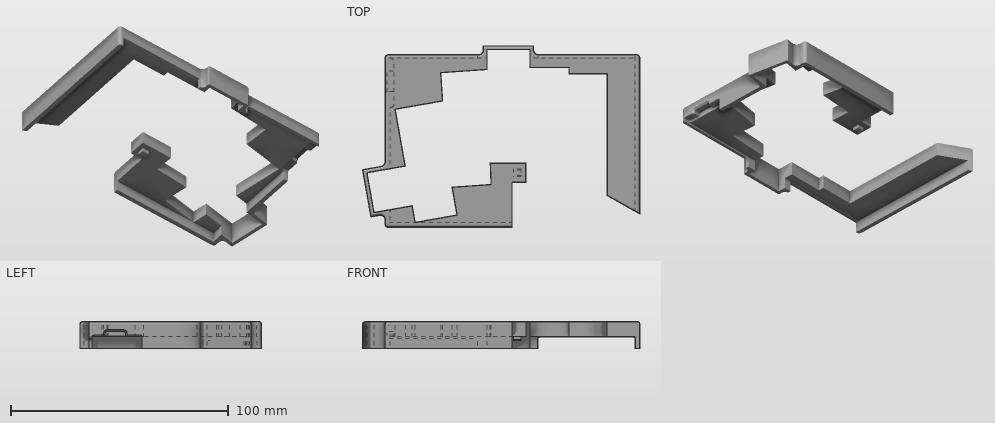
import cadquery as cq
import math

height = 12.4
plate_underside = 5.5
wall = 2.2
back_wall = 1.5
frame_left = 10.3
frame_right = 127.4
frame_back = 79.4
corner_radius = 1.5
top_edge_radius = 1.1

tab_wall = 1.8
tab_root_radius = 2.1
tab_corner_radius = 0.4
back_tab_left = 55.4
back_tab_right = 78.6
back_tab_back = 83.5
side_tab_tilt = 10.0
side_tab_width = 22.0
side_tab_tip_y = 26.5

slight_tilt = 4.0
left_bar_tip_width = 17.8
left_bar_length = 26.5
back_left_ledge = 22.2
back_left_step = 13.0
front_left_ledge = 17.8
front_left_step = 7.8
front_bar_ledge = 19.5
front_bar_step = 13.0
island_ledge = 18.0
back_bar_edge = 73.4
back_bar_step_edge = 70.6
back_bar_step_x = 94.8
island_left = 58.6
island_right = 75.0
island_front = 20.6
island_back = 29.5
front_bar_end = 68.7
right_bar_inner = 112.4
right_bar_inner_end = 14.7
right_bar_outer_end = 6.2

back_opening_left_end = 52.9
back_opening_left_top = 4.6
back_opening_corner_radius = 2.1
back_opening_right_start = 80.5
back_opening_right_top = 5.2
back_opening_right_radius = 0.6
port_front = 54.9
port_back = 77.8
port_top = 6.2
port_corner_radius = 1.0
port_depth = 4.2
port_end_radius = 2.1
plug_front = 61.8
plug_back = 72.6
plug_top = 8.7
plug_corner_radius = 1.8
plug_lead_in = 0.8
plug_depth = 4.1

nub_side = 3.5
nub_length = 1.8
nub_x = 71.1
nub_chamfer = 0.4

overshoot = 6.4


def move(point, distance, angle):
    """Point reached from another by going a distance at an angle in degrees."""
    a = math.radians(angle)
    return point[0] + distance * math.cos(a), point[1] + distance * math.sin(a)


def side_tab_root(tip):
    """Point where the tilted tab side through a tip meets the left skirt."""
    return frame_left, tip[1] + (frame_left - tip[0]) * math.tan(side_tab_tilt_radians)


def box(x_range, y_range, z_range):
    """Axis-aligned box between pairs of limits."""
    size = [hi - lo for lo, hi in (x_range, y_range, z_range)]
    return cq.Workplane("XY").box(*size, centered=False).translate((x_range[0], y_range[0], z_range[0]))


side_tab_tilt_radians = math.radians(side_tab_tilt)
side_tab_tip_x = tab_corner_radius * (1 - math.cos(side_tab_tilt_radians) - math.sin(side_tab_tilt_radians))
side_tab_back_tip = (side_tab_tip_x, side_tab_tip_y)
side_tab_front_tip = move(side_tab_back_tip, side_tab_width, side_tab_tilt - 90)


def round_uprights(body, corners, radius):
    """Round the upright edges that stand nearest to the given plan points."""
    for x, y in corners:
        upright = cq.selectors.NearestToPointSelector((x, y, height / 2))
        body = body.edges("|Z").edges(upright).fillet(radius)
    return body


def outer_body():
    """Solid block with the outside shape of the frame and rounded edges."""
    frame_corners = [(frame_left, 0), (frame_left, frame_back), (frame_right, frame_back)]
    back_tab_roots = [(back_tab_left, frame_back), (back_tab_right, frame_back)]
    back_tab_tips = [(back_tab_left, back_tab_back), (back_tab_right, back_tab_back)]
    side_tab_tips = [side_tab_front_tip, side_tab_back_tip]
    side_tab_roots = [side_tab_root(tip) for tip in side_tab_tips]
    outline = [
        frame_corners[0], side_tab_roots[0], *side_tab_tips, side_tab_roots[1],
        frame_corners[1], back_tab_roots[0], *back_tab_tips, back_tab_roots[1],
        frame_corners[2], (frame_right, 0),
    ]
    body = cq.Workplane("XY").polyline(outline).close().extrude(height)
    body = round_uprights(body, frame_corners, corner_radius)
    body = round_uprights(body, back_tab_tips + side_tab_tips, tab_corner_radius)
    body = round_uprights(body, back_tab_roots + side_tab_roots, tab_root_radius)
    return body.faces(">Z").edges().fillet(top_edge_radius)


def through_opening():
    """Cutter for the open middle, running out through the front right corner."""
    tab_back_inner = move(move(side_tab_back_tip, tab_wall, side_tab_tilt), tab_wall, side_tab_tilt - 90)
    tab_front_inner = move(tab_back_inner, side_tab_width - 2 * tab_wall, side_tab_tilt - 90)
    left_bar_tip = move(tab_back_inner, left_bar_tip_width, side_tab_tilt)
    left_bar_notch = move(left_bar_tip, left_bar_length, side_tab_tilt + 90)
    back_left_tip = move(left_bar_notch, back_left_ledge, side_tab_tilt)
    back_left_notch = move(back_left_tip, back_left_step, slight_tilt + 90)
    back_tab_inner_left = back_tab_left + tab_wall
    back_tab_inner_right = back_tab_right - tab_wall
    back_tab_inner_back = back_tab_back - tab_wall
    back_bar_rise = (back_tab_inner_left - back_left_notch[0]) * math.tan(math.radians(slight_tilt))
    back_bar_front = back_left_notch[1] + back_bar_rise
    front_left_tip = move(tab_front_inner, front_left_ledge, side_tab_tilt)
    front_left_notch = move(front_left_tip, front_left_step, side_tab_tilt - 90)
    front_bar_notch = move(front_left_notch, front_bar_ledge, side_tab_tilt)
    front_bar_tip = move(front_bar_notch, front_bar_step, side_tab_tilt + 90)
    island_notch = move(front_bar_tip, island_ledge, slight_tilt)
    outline = [
        tab_back_inner, left_bar_tip, left_bar_notch, back_left_tip, back_left_notch,
        (back_tab_inner_left, back_bar_front),
        (back_tab_inner_left, back_tab_inner_back),
        (back_tab_inner_right, back_tab_inner_back),
        (back_tab_inner_right, back_bar_edge), (back_bar_step_x, back_bar_edge),
        (back_bar_step_x, back_bar_step_edge), (right_bar_inner, back_bar_step_edge),
        (right_bar_inner, right_bar_inner_end),
        (frame_right, right_bar_outer_end),
        (frame_right + overshoot, right_bar_outer_end),
        (frame_right + overshoot, -overshoot),
        (front_bar_end, -overshoot),
        (front_bar_end, island_front), (island_right, island_front),
        (island_right, island_back), (island_left, island_back),
        island_notch, front_bar_tip, front_bar_notch, front_left_notch, front_left_tip,
        tab_front_inner,
    ]
    return cq.Workplane("XY").polyline(outline).close().extrude(height)


def underside_hollow():
    """Cutter for the space under the plate, inside the skirt."""
    return box((frame_left + wall, frame_right - wall), (wall, frame_back - back_wall), (0, plate_underside))


def back_openings():
    """Cutters for the two long openings in the back skirt, either side of the tab."""
    depth = (frame_back - 2 * back_wall, frame_back + overshoot)
    left = box((frame_left - overshoot, back_opening_left_end), depth, (-overshoot, back_opening_left_top))
    left = left.edges(">X and >Z").fillet(back_opening_corner_radius)
    right = box((back_opening_right_start, frame_right - wall), depth, (-overshoot, back_opening_right_top))
    right = right.edges("|Y and >Z").fillet(back_opening_right_radius)
    return left.union(right)


def side_port():
    """Cutter for the wide port in the left skirt and the raised plug recess over it."""
    port_reach = (frame_left - overshoot, frame_left + port_depth)
    port = box(port_reach, (port_front, port_back), (-overshoot, port_top))
    port = port.edges(">X and |Z").fillet(port_end_radius)
    port = port.edges("|X and >Z").fillet(port_corner_radius)
    plug_width = plug_back - plug_front
    plug_middle = (plug_front + plug_back) / 2

    def recess(inset, depth, taper):
        """Plug profile, shrunk by an inset, cut into the left face."""
        width = plug_width - 2 * inset
        top = plug_top - inset
        profile = (
            cq.Sketch()
            .push([(plug_middle, top / 2)])
            .rect(width, top)
            .reset()
            .vertices()
            .fillet(plug_corner_radius - inset)
        )
        return cq.Workplane("YZ", origin=(frame_left, 0, 0)).placeSketch(profile).extrude(depth, taper=taper)

    lead_in = recess(0, plug_lead_in, 45)
    pocket = recess(plug_lead_in, plug_depth, 0)
    return port.union(lead_in).union(pocket)


def island_nub():
    """Short square nub hanging below the island, with its lower edges chamfered front and back."""
    middle_y = (island_front + island_back) / 2
    top = cq.Workplane("XY", origin=(nub_x, middle_y, plate_underside))
    return top.rect(nub_side, nub_side).extrude(-nub_length).edges("|X and <Z").chamfer(nub_chamfer)


result = (
    outer_body()
    .cut(underside_hollow())
    .cut(through_opening())
    .cut(back_openings())
    .cut(side_port())
    .union(island_nub())
)